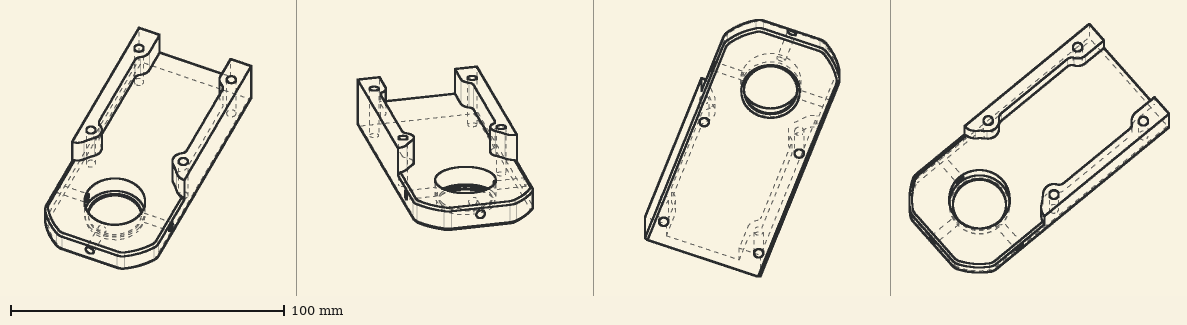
import cadquery as cq
import math


width = 45.0
half_width = width / 2
rear_y = 72.0
front_y = -half_width
plate_thickness = 9.0
edge_chamfer = 1.0
nose_radius = 25.67
nose_corner_fillet = 5.0

bore_diameter = 22.2
lip_diameter = 19.4
lip_thickness = 1.9
bore_chamfer = 1.0

total_height = 19.0
rail_end_y = 12.0
rail_thickness = 5.0
front_boss_radius = 4.0
rear_boss_radius = 4.3
boss_blend_radius = 2.5
rail_end_radius = 5.0
rail_end_blend_radius = 27.0

screw_hole_diameter = 3.4
screw_hole_x = 18.5
front_hole_y = 20.0
rear_hole_y = 63.0
set_screw_diameter = 3.2
set_screw_z = 5.5


def point_toward(start, target, distance):
    """Return the point at a given distance from start on the way to target."""
    span = math.dist(start, target)
    return tuple(a + (b - a) * distance / span for a, b in zip(start, target))


def add_arc(outline, center, radius, start, finish):
    """Continue the outline from start to finish along the short arc around center."""
    chord_middle = tuple((a + b) / 2 for a, b in zip(start, finish))
    return outline.threePointArc(point_toward(center, chord_middle, radius), finish)


def wall_blend_center(boss_center, boss_radius, wall_x, side):
    """Return the center of the concave blend touching the wall and a boss (side: +1 is +Y)."""
    center_x = wall_x + boss_blend_radius
    reach = boss_radius + boss_blend_radius
    offset_y = math.sqrt(reach**2 - (center_x - boss_center[0]) ** 2)
    return (center_x, boss_center[1] + side * offset_y)


def end_blend_center(end_center, boss_center):
    """Return the center of the concave blend touching the rail end and the front boss."""
    end_reach = rail_end_radius + rail_end_blend_radius
    boss_reach = front_boss_radius + rail_end_blend_radius
    span = math.dist(end_center, boss_center)
    along = (end_reach**2 - boss_reach**2 + span**2) / (2 * span)
    across = math.sqrt(end_reach**2 - along**2)
    unit_x = (boss_center[0] - end_center[0]) / span
    unit_y = (boss_center[1] - end_center[1]) / span
    return (
        end_center[0] + along * unit_x + across * unit_y,
        end_center[1] + along * unit_y - across * unit_x,
    )


def make_plate():
    """Plate with a rounded nose and chamfered edges; the rear edges stay sharp."""
    length = rear_y - front_y
    middle_y = (rear_y + front_y) / 2
    slab = cq.Workplane("XY").center(0, middle_y).rect(width, length).extrude(plate_thickness)
    body = cq.Workplane("XY").center(0, rear_y / 2).rect(width, rear_y).extrude(plate_thickness)
    nose = cq.Workplane("XY").circle(nose_radius).extrude(plate_thickness)
    plate = slab.intersect(body.union(nose))
    plate = plate.edges("|Z").edges("not >Y").fillet(nose_corner_fillet)
    return plate.faces("<Z or >Z").edges("not >Y").chamfer(edge_chamfer)


def make_left_rail():
    """Rail on the -X side: a wall with a screw boss at each end and a rounded front end."""
    wall_x = -half_width + rail_thickness
    front_boss = (-screw_hole_x, front_hole_y)
    rear_boss = (-screw_hole_x, rear_hole_y)
    rear_boss_x = -screw_hole_x + rear_boss_radius
    end_center = (-half_width, rail_end_y + rail_end_radius)

    end_blend = end_blend_center(end_center, front_boss)
    front_blend = wall_blend_center(front_boss, front_boss_radius, wall_x, 1)
    rear_blend = wall_blend_center(rear_boss, rear_boss_radius, wall_x, -1)

    end_tip = (-half_width, rail_end_y)
    end_touch = point_toward(end_center, end_blend, rail_end_radius)
    boss_start = point_toward(front_boss, end_blend, front_boss_radius)
    boss_finish = point_toward(front_boss, front_blend, front_boss_radius)
    wall_start = (wall_x, front_blend[1])
    wall_finish = (wall_x, rear_blend[1])
    rear_start = point_toward(rear_boss, rear_blend, rear_boss_radius)
    rear_finish = (rear_boss_x, rear_hole_y)

    outline = cq.Workplane("XY", origin=(0, 0, edge_chamfer)).moveTo(*end_tip)
    outline = add_arc(outline, end_center, rail_end_radius, end_tip, end_touch)
    outline = add_arc(outline, end_blend, rail_end_blend_radius, end_touch, boss_start)
    outline = add_arc(outline, front_boss, front_boss_radius, boss_start, boss_finish)
    outline = add_arc(outline, front_blend, boss_blend_radius, boss_finish, wall_start)
    outline = outline.lineTo(*wall_finish)
    outline = add_arc(outline, rear_blend, boss_blend_radius, wall_finish, rear_start)
    outline = add_arc(outline, rear_boss, rear_boss_radius, rear_start, rear_finish)
    outline = outline.lineTo(rear_boss_x, rear_y).lineTo(-half_width, rear_y).close()
    return outline.extrude(total_height - edge_chamfer)


def make_bore():
    """Stepped bore with a lip at the bottom and a chamfered lower rim."""
    lip_radius = lip_diameter / 2
    bore = cq.Workplane("XY", origin=(0, 0, lip_thickness)).circle(bore_diameter / 2)
    bore = bore.extrude(plate_thickness - lip_thickness)
    lip_opening = cq.Workplane("XY").circle(lip_radius).extrude(lip_thickness)
    rim = cq.Workplane("XY").circle(lip_radius + bore_chamfer).workplane(offset=bore_chamfer)
    rim = rim.circle(lip_radius).loft()
    return bore.union(lip_opening).union(rim)


def make_screw_holes():
    """Four vertical through holes, one in each boss."""
    centers = [(x, y) for x in (-screw_hole_x, screw_hole_x) for y in (front_hole_y, rear_hole_y)]
    return cq.Workplane("XY").pushPoints(centers).circle(screw_hole_diameter / 2).extrude(total_height)


def make_set_screw_holes():
    """Horizontal holes into the bore from both sides and from the nose."""
    radius = set_screw_diameter / 2
    across = cq.Workplane("YZ").center(0, set_screw_z).circle(radius).extrude(half_width, both=True)
    nose = cq.Workplane("XZ").center(0, set_screw_z).circle(radius).extrude(-front_y)
    return across.union(nose)


left_rail = make_left_rail()
result = make_plate().union(left_rail).union(left_rail.mirror("YZ"))
for cutter in (make_bore(), make_screw_holes(), make_set_screw_holes()):
    result = result.cut(cutter)